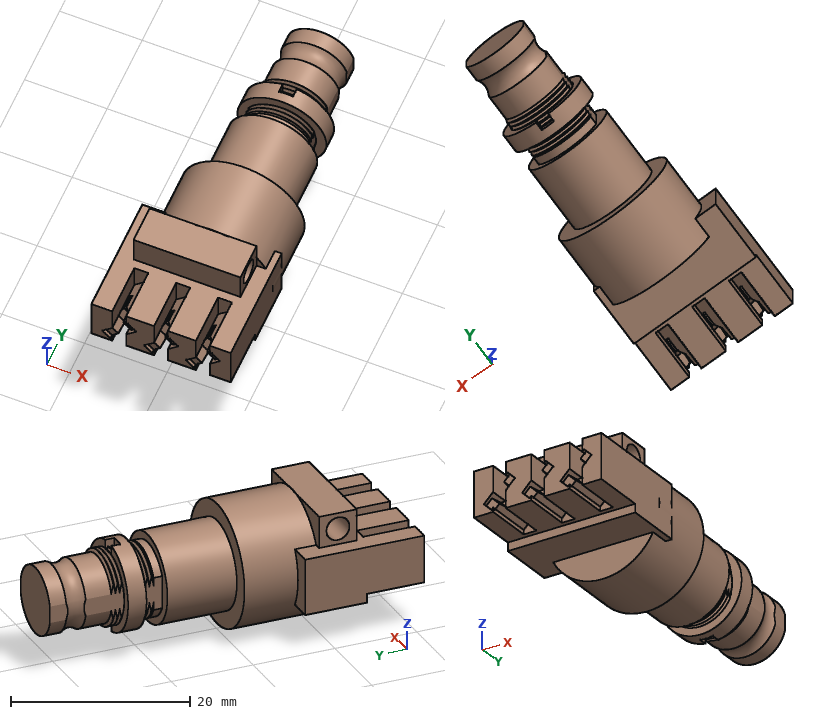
import cadquery as cq

OVERLAP = 0.45

TIP_END = 43.3
GROOVE_FRONT = 41.3
GROOVE_BACK = 38.95
THREAD_FRONT = 35.8
NECK_FRONT = 30.6
SLEEVE_FRONT = 29.6
COLLAR_FRONT = 21.1
COLLAR_BACK = 11.95

STEM_RADIUS = 8.2 / 2
GROOVE_DEPTH = 0.4
NECK_RADIUS = 8.9 / 2
SLEEVE_RADIUS = 10.8 / 2
COLLAR_RADIUS = 14.95 / 2
STEM_FLATS_WIDTH = 7.93

THREAD_CREST_RADIUS = 9.0 / 2
THREAD_COUNT = 10
THREAD_PITCH = (THREAD_FRONT - NECK_FRONT) / THREAD_COUNT

NUT_RADIUS = SLEEVE_RADIUS
NUT_FRONT = 34.4
NUT_LENGTH = 2.25
NUT_SLOT_WIDTH = 1.7
NUT_SLOT_DEPTH = 1.1

BLOCK_WIDTH = 16.9
BLOCK_RIGHT = 7.45
BLOCK_CENTER_X = BLOCK_RIGHT - BLOCK_WIDTH / 2
BLOCK_LENGTH = 14.55
BLOCK_TOP = 3.45
BLOCK_BOTTOM = -2.4
FOOT_BOTTOM = -3.45
FOOT_FRONT = 6.97

BAR_LEFT = -7.45
BAR_RIGHT = 5.5
BAR_FRONT = 7.35
BAR_TOP = 7.35
BAR_HOLE_DIAMETER = 2.8

SLOT_COUNT = 3
SLOT_PITCH = 5.05
SLOT_WIDTH = 1.7
SLOT_DEPTH = 6.32
CONTACT_WIDTH = 4.4
CONTACT_THICKNESS = 1.4
CONTACT_TILT = 45.0
FORK_TIP = 0.48
FORK_MOUTH_END = 2.12
FORK_VEE_END = 2.85
FORK_SLIT_END = 4.6
FORK_TIP_GAP = 2.25
FORK_MOUTH_GAP = 1.9
FORK_SLIT_GAP = 0.4


def box(x_range, y_range, z_range):
    """Box between two limits on each axis."""
    size = [limits[1] - limits[0] for limits in (x_range, y_range, z_range)]
    return cq.Workplane("XY").box(*size, centered=False).translate((x_range[0], y_range[0], z_range[0]))


def cylinder(radius, y_start, y_end):
    """Solid cylinder on the barrel axis."""
    return cq.Workplane("XZ", origin=(0, y_start, 0)).circle(radius).extrude(y_start - y_end)


def threaded_stem():
    """Round stem with the rounded groove and the thread rings, before its flats are cut."""
    groove_middle = (GROOVE_FRONT + GROOVE_BACK) / 2
    profile = (
        cq.Workplane("XY")
        .moveTo(0, TIP_END)
        .lineTo(STEM_RADIUS, TIP_END)
        .lineTo(STEM_RADIUS, GROOVE_FRONT)
        .threePointArc((STEM_RADIUS - GROOVE_DEPTH, groove_middle), (STEM_RADIUS, GROOVE_BACK))
        .lineTo(STEM_RADIUS, THREAD_FRONT)
    )
    for ring in range(THREAD_COUNT):
        ring_start = THREAD_FRONT - ring * THREAD_PITCH
        profile = profile.lineTo(THREAD_CREST_RADIUS, ring_start - THREAD_PITCH / 2)
        profile = profile.lineTo(STEM_RADIUS, ring_start - THREAD_PITCH)
    profile = (
        profile.lineTo(NECK_RADIUS, NECK_FRONT)
        .lineTo(NECK_RADIUS, SLEEVE_FRONT)
        .lineTo(0, SLEEVE_FRONT)
        .close()
    )
    return profile.revolve(360, (0, 0, 0), (0, 1, 0))


def barrel():
    """Flatted stem, sleeve and collar."""
    half_flats = STEM_FLATS_WIDTH / 2
    between_flats = box(
        (-half_flats, half_flats),
        (SLEEVE_FRONT, TIP_END),
        (-SLEEVE_RADIUS, SLEEVE_RADIUS),
    )
    stem = threaded_stem().intersect(between_flats)
    sleeve = cylinder(SLEEVE_RADIUS, COLLAR_FRONT, SLEEVE_FRONT)
    collar = cylinder(COLLAR_RADIUS, COLLAR_BACK, COLLAR_FRONT)
    return collar.union(sleeve).union(stem)


def block():
    """Contact block with its stepped foot and the drilled cross bar."""
    block_x = (BLOCK_RIGHT - BLOCK_WIDTH, BLOCK_RIGHT)
    body = box(block_x, (0, BLOCK_LENGTH), (BLOCK_BOTTOM, BLOCK_TOP))
    foot = box(block_x, (FOOT_FRONT, BLOCK_LENGTH), (FOOT_BOTTOM, BLOCK_TOP))
    bar = box((BAR_LEFT, BAR_RIGHT), (BAR_FRONT, COLLAR_BACK), (BLOCK_TOP - OVERLAP, BAR_TOP))
    hole_y = (BAR_FRONT + COLLAR_BACK) / 2
    hole_z = (BLOCK_TOP + BAR_TOP) / 2
    hole = (
        cq.Workplane("YZ", origin=(BAR_LEFT, hole_y, hole_z))
        .circle(BAR_HOLE_DIAMETER / 2)
        .extrude(BAR_RIGHT - BAR_LEFT)
    )
    return body.union(foot).union(bar.cut(hole))


def slot_cutter():
    """Space removed for one wire slot centred on X = 0: all but the forked contact."""
    slot = box((-SLOT_WIDTH / 2, SLOT_WIDTH / 2), (0, SLOT_DEPTH), (BLOCK_BOTTOM, BLOCK_TOP))
    contact_seat = (
        cq.Workplane("XY")
        .box(CONTACT_WIDTH, SLOT_DEPTH, CONTACT_THICKNESS, centered=(True, False, True))
        .rotate((0, 0, 0), (0, 1, 0), -CONTACT_TILT)
    )
    return slot.cut(contact_seat).union(fork_opening())


def fork_opening():
    """Space in front of the fork tips and between the prongs, in the slanted contact plane."""
    half_outline = [
        (CONTACT_WIDTH / 2, 0),
        (CONTACT_WIDTH / 2, FORK_TIP),
        (FORK_TIP_GAP / 2, FORK_TIP),
        (FORK_MOUTH_GAP / 2, FORK_MOUTH_END),
        (FORK_SLIT_GAP / 2, FORK_VEE_END),
        (FORK_SLIT_GAP / 2, FORK_SLIT_END),
    ]
    mirrored_half = [(-x, y) for x, y in reversed(half_outline)]
    return (
        cq.Workplane("XY")
        .polyline(half_outline + mirrored_half)
        .close()
        .extrude(CONTACT_THICKNESS / 2, both=True)
        .rotate((0, 0, 0), (0, 1, 0), -CONTACT_TILT)
    )


def make_connector():
    """Barrel and block as one body, with the wire slots cut into the block."""
    connector = barrel().union(block())
    cutter = slot_cutter()
    for index in range(SLOT_COUNT):
        slot_x = BLOCK_CENTER_X + (index - (SLOT_COUNT - 1) / 2) * SLOT_PITCH
        connector = connector.cut(cutter.translate((slot_x, 0, 0)))
    return connector


def make_nut():
    """Round nut threaded to suit the stem, with a driving slot across its tip-side face."""
    slot = box(
        (-NUT_SLOT_WIDTH / 2, NUT_SLOT_WIDTH / 2),
        (NUT_FRONT - NUT_SLOT_DEPTH, NUT_FRONT),
        (-NUT_RADIUS, NUT_RADIUS),
    )
    return cylinder(NUT_RADIUS, NUT_FRONT - NUT_LENGTH, NUT_FRONT).cut(threaded_stem()).cut(slot)


connector = make_connector()
nut = make_nut()
result = cq.Compound.makeCompound([connector.val(), nut.val()])